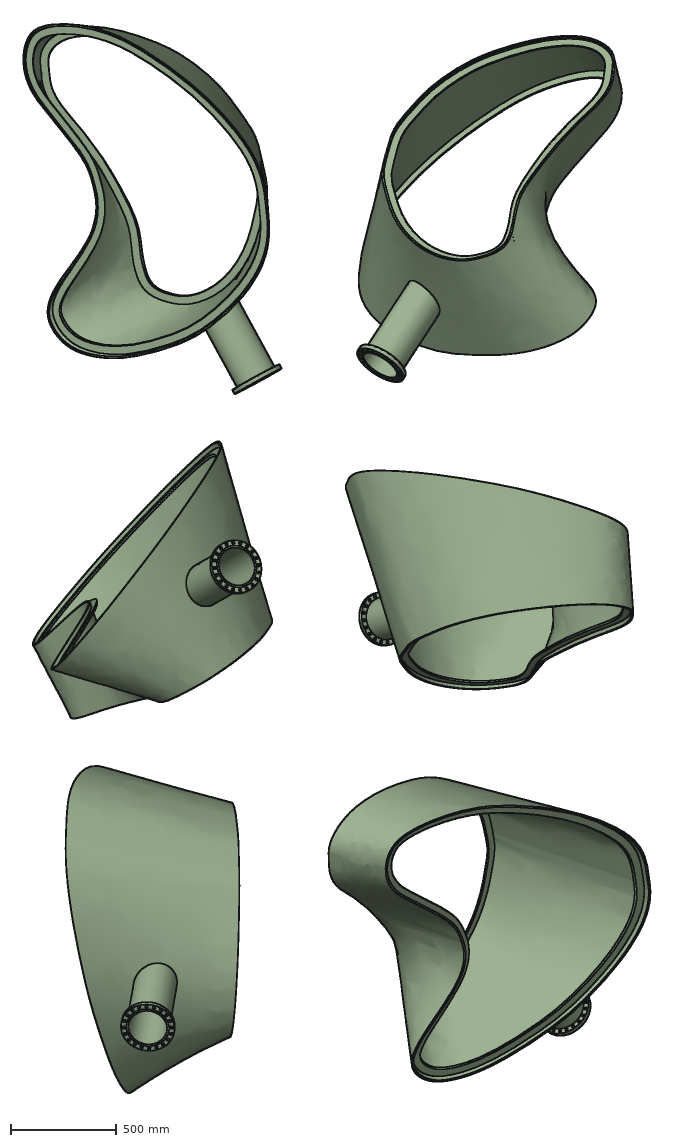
import cadquery as cq
import math

front_angle = 10.0
rear_angle = 30.0
front_origin = (0.0, -325.0, 0.0)
rear_origin = (-787.0, -114.0, 0.0)

sheet = 10.0
ring_recess = 20.0
ring_width = 40.0

inset_samples = 24
slab_size = 5339

seam_height = 84.0
front_right_seam = (794.0, seam_height)
front_left_seam = (-205.0, seam_height)
front_upper = [
    (745.0, 322.0), (596.0, 515.0), (322.0, 708.0), (125.0, 803.0), (-65.0, 867.0), (-230.0, 888.0),
    (-365.0, 883.0), (-463.0, 863.0), (-555.0, 815.0), (-609.0, 645.0), (-560.0, 520.0), (-463.0, 418.0),
    (-360.0, 322.0), (-237.0, 176.0),
]
front_lower = [
    (-194.0, 10.0), (-217.0, -112.0), (-270.0, -210.0), (-375.0, -355.0), (-461.0, -498.0), (-472.0, -557.0),
    (-370.0, -698.0), (-267.0, -730.0), (-21.0, -712.0), (175.0, -646.0), (343.0, -566.0), (498.0, -454.0),
    (646.0, -308.0), (744.0, -164.0), (781.0, -68.0),
]
rear_right_seam = (1096.0, seam_height)
rear_left_seam = (263.0, seam_height)
rear_upper = [
    (1043.0, 274.0), (979.0, 370.0), (904.0, 466.0), (799.0, 565.0), (646.0, 660.0), (518.0, 708.0),
    (222.0, 751.0), (101.0, 720.0), (0.0, 614.0), (-5.0, 534.0), (5.0, 440.0), (62.0, 325.0),
    (155.0, 219.0),
]
rear_lower = [
    (343.0, -35.0), (405.0, -137.0), (443.0, -217.0), (466.0, -324.0), (488.0, -445.0), (530.0, -525.0),
    (612.0, -570.0), (705.0, -585.0), (840.0, -546.0), (1043.0, -306.0), (1096.0, -112.0), (1109.0, -16.0),
]

pipe_end = (448.0, 87.0, -822.0)
pipe_direction = cq.Vector(0.62, 0.175, -1.0)
pipe_diameter = 205.0
pipe_reach = 498.0
flange_diameter = 256.0
flange_thickness = 23.0
bolt_count = 20
bolt_circle_diameter = 231.0
bolt_hole_diameter = 12.0


def mouth_plane(origin, angle, depth=0.0):
    """Upright plane facing the -Y side, moved towards +Y by depth along its normal."""
    turn = math.radians(angle)
    along = (math.cos(turn), math.sin(turn), 0)
    facing = (math.sin(turn), -math.cos(turn), 0)
    place = cq.Vector(*origin) - cq.Vector(*facing) * depth
    return cq.Plane(place, along, facing)


front_plane = mouth_plane(front_origin, front_angle)
rear_plane = mouth_plane(rear_origin, rear_angle)


def outline_halves(right_seam, upper, left_seam, lower):
    """Two splines, counterclockwise, that share their tangents at both seams."""
    seam_points = {"right": cq.Vector(*right_seam), "left": cq.Vector(*left_seam)}
    tangents = {
        "right": (cq.Vector(*upper[0]) - cq.Vector(*lower[-1])).normalized(),
        "left": (cq.Vector(*lower[0]) - cq.Vector(*upper[-1])).normalized(),
    }
    halves = []
    for points, start, end in ((upper, "right", "left"), (lower, "left", "right")):
        path = [seam_points[start], *(cq.Vector(*p) for p in points), seam_points[end]]
        halves.append(cq.Edge.makeSpline(path, tangents=[tangents[start], tangents[end]], scale=False))
    return halves


def inset_wire(halves, plane, inset):
    """Closed outline in space, moved inwards by inset."""
    if inset == 0:
        return cq.Wire.assembleEdges([half.moved(plane.location) for half in halves])
    edges = []
    for half in halves:
        points = []
        tangents = []
        for step in range(inset_samples + 1):
            place = step / inset_samples
            tangent = half.tangentAt(place)
            points.append(half.positionAt(place) + cq.Vector(-tangent.y, tangent.x) * inset)
            tangents.append(tangent)
        spline = cq.Edge.makeSpline(points, tangents=[tangents[0], tangents[-1]], scale=False)
        edges.append(spline.moved(plane.location))
    return cq.Wire.assembleEdges(edges)


front_halves = outline_halves(front_right_seam, front_upper, front_left_seam, front_lower)
rear_halves = outline_halves(rear_right_seam, rear_upper, rear_left_seam, rear_lower)


def duct_volume(inset):
    """Filled space between the mouths, its wall moved inwards by inset."""
    mouths = [inset_wire(front_halves, front_plane, inset), inset_wire(rear_halves, rear_plane, inset)]
    return cq.Workplane(cq.Solid.makeLoft(mouths, True))


def build_duct():
    return duct_volume(0).cut(duct_volume(sheet))


def build_ring(origin, angle, depth):
    """Flat ring inside the duct, its -Y face at depth behind the mouth plane."""
    slab = cq.Workplane(mouth_plane(origin, angle, depth)).rect(slab_size, slab_size).extrude(-sheet)
    return duct_volume(sheet).cut(duct_volume(sheet + ring_width)).intersect(slab)


pipe_plane = cq.Plane(pipe_end, normal=pipe_direction * -1)


def build_pipe():
    tube = cq.Workplane(pipe_plane).circle(pipe_diameter / 2).circle(pipe_diameter / 2 - sheet)
    return tube.extrude(pipe_reach).cut(duct_volume(0))


def build_flange():
    disc = cq.Workplane(pipe_plane).circle(flange_diameter / 2).circle(pipe_diameter / 2)
    bolt_holes = (
        cq.Workplane(pipe_plane)
        .polarArray(bolt_circle_diameter / 2, 0, 360, bolt_count)
        .circle(bolt_hole_diameter / 2)
        .extrude(flange_thickness)
    )
    return disc.extrude(flange_thickness).cut(bolt_holes)


duct = build_duct()
front_ring = build_ring(front_origin, front_angle, ring_recess)
rear_ring = build_ring(rear_origin, rear_angle, -ring_recess - sheet)
pipe = build_pipe()
flange = build_flange()

result = cq.Compound.makeCompound(
    [duct.val(), front_ring.val(), rear_ring.val(), pipe.val(), flange.val()]
)